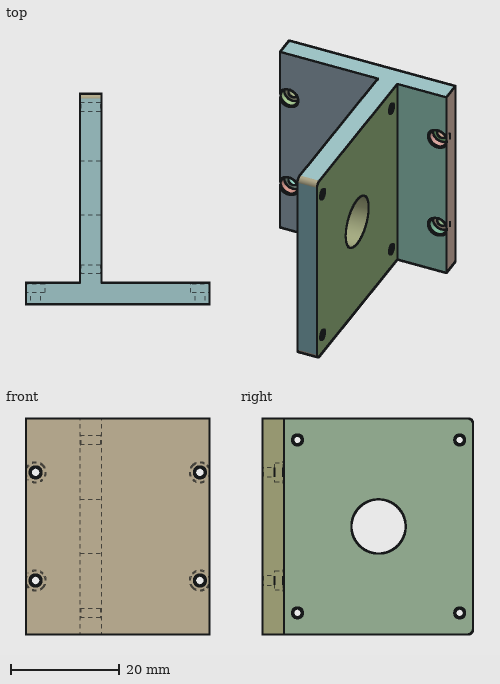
import cadquery as cq

width = 34.0
depth = 39.0
height = 40.0
plate_thickness = 4.0
web_left = 10.0
web_thickness = 4.0
web_length = depth - plate_thickness
web_middle_y = plate_thickness + web_length / 2
corner_radius = 1.0

plate_hole_diameter = 1.8
plate_hole_spacing_x = 30.4
plate_hole_spacing_z = 20.0
counterbore_diameter = 3.5
counterbore_depth = 1.75

web_hole_diameter = 1.6
web_hole_spacing_y = 30.0
web_hole_spacing_z = 32.0
bore_diameter = 10.0

hole_chamfer = 0.2


def cylinder(diameter, length, start, direction):
    """Solid cylinder running from a start point along a direction."""
    return cq.Workplane(
        cq.Solid.makeCylinder(diameter / 2, length, cq.Vector(*start), cq.Vector(*direction))
    )


def mouth(diameter, start, direction):
    """Cone that chamfers a hole's mouth, narrowing from a start point inward."""
    radius = diameter / 2
    return cq.Workplane(
        cq.Solid.makeCone(
            radius + hole_chamfer, radius, hole_chamfer, cq.Vector(*start), cq.Vector(*direction)
        )
    )


def make_body():
    plate = cq.Workplane("XY").box(width, plate_thickness, height, centered=(True, False, True))
    plate = plate.translate((width / 2, 0, 0))
    web = cq.Workplane("XY").box(web_thickness, depth, height, centered=(False, False, True))
    web = web.translate((web_left, 0, 0))
    web = web.faces(">Y").edges("|X").fillet(corner_radius)
    return plate.union(web)


def cut_plate_holes(body):
    for side_x in (-1, 1):
        for side_z in (-1, 1):
            x = width / 2 + side_x * plate_hole_spacing_x / 2
            z = side_z * plate_hole_spacing_z / 2
            front = (x, 0, z)
            back = (x, plate_thickness, z)
            body = body.cut(cylinder(plate_hole_diameter, plate_thickness, front, (0, 1, 0)))
            body = body.cut(mouth(plate_hole_diameter, front, (0, 1, 0)))
            body = body.cut(cylinder(counterbore_diameter, counterbore_depth, back, (0, -1, 0)))
            body = body.cut(mouth(counterbore_diameter, back, (0, -1, 0)))
    return body


def cut_web_holes(body):
    web_right = web_left + web_thickness
    for side_y in (-1, 1):
        for side_z in (-1, 1):
            y = web_middle_y + side_y * web_hole_spacing_y / 2
            z = side_z * web_hole_spacing_z / 2
            left = (web_left, y, z)
            right = (web_right, y, z)
            body = body.cut(cylinder(web_hole_diameter, web_thickness, left, (1, 0, 0)))
            body = body.cut(mouth(web_hole_diameter, left, (1, 0, 0)))
            body = body.cut(mouth(web_hole_diameter, right, (-1, 0, 0)))
    return body.cut(cylinder(bore_diameter, web_thickness, (web_left, web_middle_y, 0), (1, 0, 0)))


result = cut_web_holes(cut_plate_holes(make_body()))